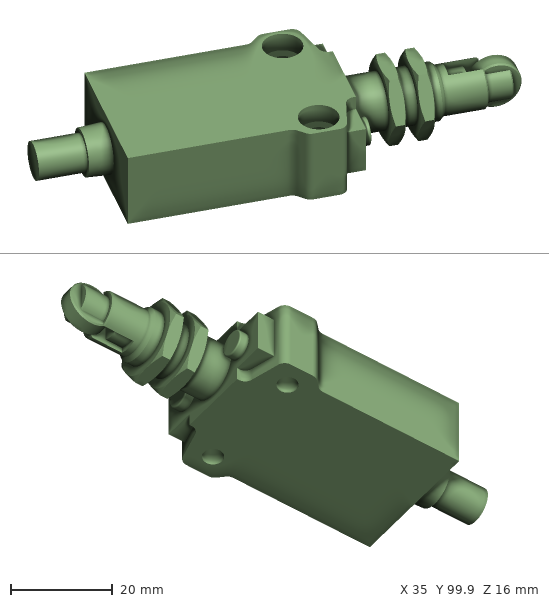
import cadquery as cq
import math


HOUSING_WIDTH = 30.0
HOUSING_LENGTH = 49.0
HOUSING_HEIGHT = 16.0

EAR_SPAN = 35.0
EAR_LOWER_CORNER_Y = 36.6
EAR_UPPER_CORNER_Y = 44.4
EAR_SLOPE_ANGLE = 15.0
EAR_BLEND_RADIUS = 2.0
NECK_HALF_WIDTH = 8.0
CORE_HEIGHT = 10.0

HOLE_OFFSET_X = 12.5
HOLE_Y = 40.0
HOLE_DIAMETER = 4.4
COUNTERBORE_DIAMETER = 8.2
COUNTERBORE_DEPTH = 4.0

HEAD_RADIUS = 2.9
HEAD_OFFSET_X = 9.0
HEAD_HEIGHT = 2.1
HEAD_FILLET = 0.3

BARREL_RADIUS = 6.0
BARREL_END_Y = 68.2
BARREL_BEVEL_LENGTH = 0.9
BARREL_BEVEL_DEPTH = 0.8

NUT_SIDES = 6
NUT_ACROSS_FLATS = 16.0
NUT_THICKNESS = 3.0
NUT_START_YS = (56.2, 62.2)
NUT_CHAMFER_ANGLE = 25.0

SLEEVE_RADIUS = 5.2
SLEEVE_END_Y = 77.1
FORK_RADIUS = 4.0
FORK_END_Y = 82.6
PLUNGER_CHAMFER = 0.3
SLOT_WIDTH = 4.0
FORK_SLOT_FLOOR_Y = 73.7
SLEEVE_SLOT_FLOOR_Y = 69.7

ROLLER_RADIUS = 5.2
ROLLER_WIDTH = 3.6
ROLLER_TOP_Y = 84.9
ROLLER_CHAMFER = 0.3

GLAND_BASE_RADIUS = 5.3
GLAND_TIP_RADIUS = 5.0
GLAND_LENGTH = 5.0
CABLE_RADIUS = 4.0
CABLE_LENGTH = 15.0


def cylinder_along_y(radius, start_y, end_y):
    """Cylinder on the switch axis between two Y positions."""
    start_plane = cq.Workplane("XZ", origin=(0, start_y, 0))
    return start_plane.circle(radius).extrude(start_y - end_y)


def revolve_about_y(points):
    """Turn a closed (radius, y) outline around the switch axis."""
    return cq.Workplane("XY").polyline(points).close().revolve(360, (0, 0, 0), (0, 1, 0))


def make_eared_block():
    """Full-height block with an ear on each side and a narrow neck at the front."""
    half_width = HOUSING_WIDTH / 2
    ear_x = EAR_SPAN / 2
    lower_step_y = EAR_LOWER_CORNER_Y - (ear_x - half_width)
    slope_rise = (ear_x - NECK_HALF_WIDTH) * math.tan(math.radians(EAR_SLOPE_ANGLE))
    neck_y = EAR_UPPER_CORNER_Y + slope_rise

    right_side = [
        (half_width, 0),
        (half_width, lower_step_y),
        (ear_x, EAR_LOWER_CORNER_Y),
        (ear_x, EAR_UPPER_CORNER_Y),
        (NECK_HALF_WIDTH, neck_y),
        (NECK_HALF_WIDTH, HOUSING_LENGTH),
    ]
    left_side = [(-x, y) for x, y in reversed(right_side)]
    block = (
        cq.Workplane("XY", origin=(0, 0, -HOUSING_HEIGHT / 2))
        .polyline(right_side + left_side)
        .close()
        .extrude(HOUSING_HEIGHT)
    )
    upright_edges = block.edges("|Z and (not <Y) and (not >Y)")
    return upright_edges.fillet(EAR_BLEND_RADIUS)


def make_housing():
    """Housing with ears, mounting holes, front heads and the barrel."""
    housing = make_eared_block()

    core = cq.Workplane("XY").box(HOUSING_WIDTH, HOUSING_LENGTH, CORE_HEIGHT, centered=(True, False, True))
    housing = housing.union(core)

    housing = (
        housing.faces(">Z")
        .workplane(origin=(0, 0, 0))
        .pushPoints([(-HOLE_OFFSET_X, HOLE_Y), (HOLE_OFFSET_X, HOLE_Y)])
        .cboreHole(HOLE_DIAMETER, COUNTERBORE_DIAMETER, COUNTERBORE_DEPTH)
    )

    head = cylinder_along_y(HEAD_RADIUS, HOUSING_LENGTH, HOUSING_LENGTH + HEAD_HEIGHT)
    head = head.faces(">Y").edges().fillet(HEAD_FILLET)
    for offset_x in (-HEAD_OFFSET_X, HEAD_OFFSET_X):
        housing = housing.union(head.translate((offset_x, 0, 0)))

    barrel = revolve_about_y([
        (0, HOUSING_LENGTH),
        (BARREL_RADIUS, HOUSING_LENGTH),
        (BARREL_RADIUS, BARREL_END_Y - BARREL_BEVEL_LENGTH),
        (BARREL_RADIUS - BARREL_BEVEL_DEPTH, BARREL_END_Y),
        (0, BARREL_END_Y),
    ])
    return housing.union(barrel)


def make_nut(start_y):
    """Hexagon nut with flats facing up and down and chamfered corners."""
    end_y = start_y + NUT_THICKNESS
    flat_radius = NUT_ACROSS_FLATS / 2
    corner_radius = flat_radius / math.cos(math.pi / NUT_SIDES)
    chamfer_length = (corner_radius - flat_radius) * math.tan(math.radians(NUT_CHAMFER_ANGLE))

    hexagon = (
        cq.Workplane("XZ", origin=(0, start_y, 0))
        .polygon(NUT_SIDES, 2 * corner_radius)
        .extrude(-NUT_THICKNESS)
    )
    chamfered_disc = revolve_about_y([
        (0, start_y),
        (flat_radius, start_y),
        (corner_radius, start_y + chamfer_length),
        (corner_radius, end_y - chamfer_length),
        (flat_radius, end_y),
        (0, end_y),
    ])
    bore = cylinder_along_y(BARREL_RADIUS, start_y, end_y)
    return hexagon.intersect(chamfered_disc).cut(bore)


def make_slotted_rod(radius, end_y, slot_floor_y):
    """Rod from the barrel end, with a chamfered tip and a slot open at the tip."""
    rod = cylinder_along_y(radius, BARREL_END_Y, end_y)
    rod = rod.faces(">Y").chamfer(PLUNGER_CHAMFER)
    slot = cq.Workplane("XY", origin=(0, slot_floor_y, 0)).box(
        SLOT_WIDTH, end_y - slot_floor_y, 2 * radius, centered=(True, False, True)
    )
    return rod.cut(slot)


def make_plunger():
    """Sleeve around a thinner fork, each slotted to its own depth for the roller."""
    sleeve = make_slotted_rod(SLEEVE_RADIUS, SLEEVE_END_Y, SLEEVE_SLOT_FLOOR_Y)
    fork = make_slotted_rod(FORK_RADIUS, FORK_END_Y, FORK_SLOT_FLOOR_Y)
    return sleeve.union(fork)


def make_roller():
    """Disc with chamfered rims, standing in the slot of the fork."""
    centre_y = ROLLER_TOP_Y - ROLLER_RADIUS
    disc = (
        cq.Workplane("YZ", origin=(-ROLLER_WIDTH / 2, centre_y, 0))
        .circle(ROLLER_RADIUS)
        .extrude(ROLLER_WIDTH)
    )
    return disc.faces("<X or >X").chamfer(ROLLER_CHAMFER)


def make_cable():
    """Cable with the tapered sleeve that meets the housing."""
    return revolve_about_y([
        (0, 0),
        (GLAND_BASE_RADIUS, 0),
        (GLAND_TIP_RADIUS, -GLAND_LENGTH),
        (CABLE_RADIUS, -GLAND_LENGTH),
        (CABLE_RADIUS, -CABLE_LENGTH),
        (0, -CABLE_LENGTH),
    ])


housing = make_housing()
nuts = [make_nut(start_y) for start_y in NUT_START_YS]
plunger = make_plunger()
roller = make_roller()
cable = make_cable()

result = cq.Compound.makeCompound([
    housing.val(),
    *[nut.val() for nut in nuts],
    plunger.val(),
    roller.val(),
    cable.val(),
])